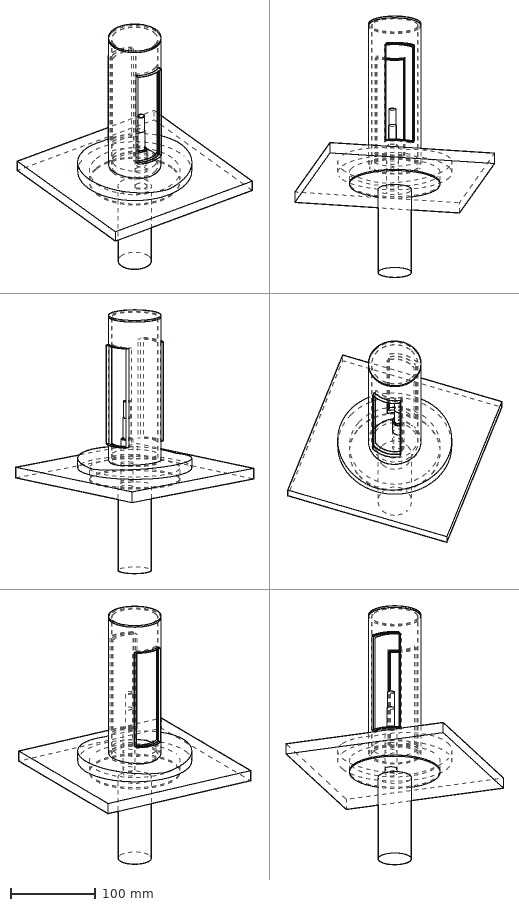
import cadquery as cq

TOTAL_HEIGHT = 309.5
MOTOR_TOP = 103.3
PLATE_BOTTOM = 111.5
PLATE_TOP = 124.5
VALLEY_TOP = 132.0
RIM_TOP = 137.7
FLOOR_TOP = 140.8
WINDOW_BOTTOM = 155.0
WINDOW_TOP = 275.0
COLLAR_TOP = 161.8
SHAFT_STEP = 187.0
SHAFT_TOP = 207.3

PLATE_SIDE = 200.0
DISC_RADIUS = 67.8
FLANGE_RADIUS = 53.8
FLANGE_DROP = 1.5

TOWER_RADIUS = 31.2
LINER_RADIUS = 27.5
FRAME_RADIUS = 35.0
SHEET = 0.3
WINDOW_WIDTH = 33.7
FRAME_CORNER = 1.2
CAP_THICKNESS = 2.2

MOTOR_RADIUS = 19.8
SHAFT_OFFSET = 12.7
COLLAR_DIAMETER = 14.0
SHAFT_DIAMETER = 9.0
TIP_DIAMETER = 8.7
COLLAR_CHAMFER = 1.0
TIP_CHAMFER = 0.5

CAP_BOTTOM = TOTAL_HEIGHT - CAP_THICKNESS
FLANGE_BOTTOM = PLATE_BOTTOM - FLANGE_DROP
WINDOW_HEIGHT = WINDOW_TOP - WINDOW_BOTTOM
WINDOW_MIDDLE = (WINDOW_TOP + WINDOW_BOTTOM) / 2


def cylinder(radius, bottom, top, x=0.0):
    """Upright cylinder between two heights."""
    return cq.Workplane("XY", origin=(x, 0, bottom)).circle(radius).extrude(top - bottom)


def tube(outer_radius, inner_radius, bottom, top):
    """Upright tube between two heights."""
    return cylinder(outer_radius, bottom, top).cut(cylinder(inner_radius, bottom, top))


def window_bar(border=0.0):
    """Bar along X that fills both windows, grown by a border all round."""
    width = WINDOW_WIDTH + 2 * border
    height = WINDOW_HEIGHT + 2 * border
    bar = cq.Workplane("XY").box(2 * DISC_RADIUS, width, height)
    return bar.translate((0, 0, WINDOW_MIDDLE))


def collar_hole():
    """Upright hole for the motor collar, up to the floor of the liner."""
    return cylinder(COLLAR_DIAMETER / 2, FLANGE_BOTTOM, FLOOR_TOP, SHAFT_OFFSET)


def make_plate():
    """Square base plate with a round hole for the flange."""
    outline = cq.Workplane("XY", origin=(0, 0, PLATE_BOTTOM)).rect(PLATE_SIDE, PLATE_SIDE)
    plate = outline.extrude(PLATE_TOP - PLATE_BOTTOM)
    return plate.cut(cylinder(FLANGE_RADIUS, PLATE_BOTTOM, PLATE_TOP))


def make_valley_disc():
    """Round disc whose top slopes down from both sides to a valley along X."""
    profile = (
        cq.Workplane("YZ")
        .moveTo(-DISC_RADIUS, PLATE_TOP)
        .lineTo(DISC_RADIUS, PLATE_TOP)
        .lineTo(DISC_RADIUS, RIM_TOP)
        .lineTo(0, VALLEY_TOP)
        .lineTo(-DISC_RADIUS, RIM_TOP)
        .close()
    )
    wedge = profile.extrude(DISC_RADIUS, both=True)
    return wedge.intersect(cylinder(DISC_RADIUS, PLATE_TOP, RIM_TOP))


def make_frames():
    """Thin frames with rounded corners that stand out from the tower around both windows."""
    bar = window_bar(SHEET).edges("|X").fillet(FRAME_CORNER)
    ring = tube(FRAME_RADIUS, TOWER_RADIUS - SHEET, PLATE_TOP, CAP_BOTTOM)
    return ring.intersect(bar)


def make_housing():
    """Disc with the flange below it and the thin tower with two windows above it."""
    housing = make_valley_disc()
    housing = housing.union(cylinder(FLANGE_RADIUS, FLANGE_BOTTOM, PLATE_TOP))
    housing = housing.union(cylinder(TOWER_RADIUS, PLATE_TOP, CAP_BOTTOM))
    housing = housing.cut(cylinder(TOWER_RADIUS - SHEET, VALLEY_TOP, CAP_BOTTOM))
    housing = housing.union(make_frames())
    housing = housing.cut(window_bar())
    return housing.cut(collar_hole())


def make_insert():
    """Thin liner with a floor and two windows, hanging from the cap that closes the tower."""
    insert = cylinder(LINER_RADIUS, VALLEY_TOP, CAP_BOTTOM)
    insert = insert.cut(cylinder(LINER_RADIUS - SHEET, FLOOR_TOP, CAP_BOTTOM))
    insert = insert.cut(window_bar())
    insert = insert.union(cylinder(TOWER_RADIUS, CAP_BOTTOM, TOTAL_HEIGHT))
    return insert.cut(collar_hole())


def make_motor():
    """Motor with a collar and a stepped shaft set off centre along X."""
    body = cylinder(MOTOR_RADIUS, 0, MOTOR_TOP)
    collar = cylinder(COLLAR_DIAMETER / 2, MOTOR_TOP, COLLAR_TOP, SHAFT_OFFSET)
    collar = collar.faces(">Z").chamfer(COLLAR_CHAMFER)
    shaft = cylinder(SHAFT_DIAMETER / 2, COLLAR_TOP, SHAFT_STEP, SHAFT_OFFSET)
    tip = cylinder(TIP_DIAMETER / 2, SHAFT_STEP, SHAFT_TOP, SHAFT_OFFSET)
    tip = tip.faces(">Z").chamfer(TIP_CHAMFER)
    return body.union(collar).union(shaft).union(tip)


plate = make_plate()
housing = make_housing()
insert = make_insert()
motor = make_motor()

result = cq.Compound.makeCompound([plate.val(), housing.val(), insert.val(), motor.val()])